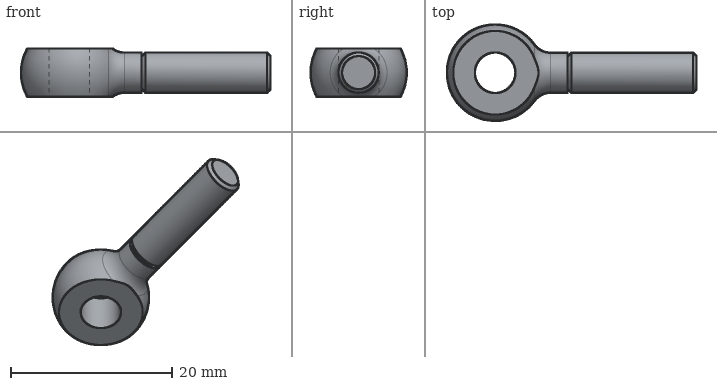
import cadquery as cq
import math

ball_radius = 6.0
eye_thickness = 6.0
bore_diameter = 5.0

shank_radius = 2.5
shank_end_x = 25.0
neck_fillet_radius = 2.5

thread_start_x = 9.0
thread_chamfer = 0.45


def make_body():
    """Revolve the ball, neck fillet and shank about the X axis."""
    fillet_center_y = shank_radius + neck_fillet_radius
    center_distance = ball_radius + neck_fillet_radius
    fillet_center_x = math.sqrt(center_distance**2 - fillet_center_y**2)
    ball_ratio = ball_radius / center_distance
    ball_tangent = (fillet_center_x * ball_ratio, fillet_center_y * ball_ratio)

    thread_root_radius = shank_radius - thread_chamfer
    profile = (
        cq.Workplane("XY")
        .moveTo(-ball_radius, 0)
        .threePointArc((0, ball_radius), ball_tangent)
        .radiusArc((fillet_center_x, shank_radius), -neck_fillet_radius)
        .lineTo(thread_start_x, shank_radius)
        .lineTo(thread_start_x, thread_root_radius)
        .lineTo(thread_start_x + thread_chamfer, shank_radius)
        .lineTo(shank_end_x - thread_chamfer, shank_radius)
        .lineTo(shank_end_x, thread_root_radius)
        .lineTo(shank_end_x, 0)
        .close()
    )
    return profile.revolve(360, (0, 0, 0), (1, 0, 0))


def make_flat_slab():
    """Slab whose top and bottom faces trim the ball flat."""
    slab_length = 2 * (shank_end_x + ball_radius)
    slab_width = 4 * ball_radius
    return cq.Workplane("XY").box(slab_length, slab_width, eye_thickness)


def make_bore():
    """Through bore of the eye."""
    return cq.Workplane("XY").cylinder(2 * eye_thickness, bore_diameter / 2)


result = make_body().intersect(make_flat_slab()).cut(make_bore())